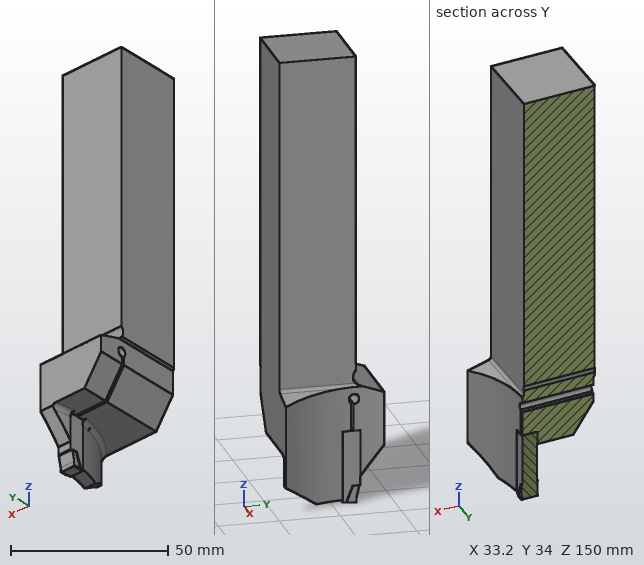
import cadquery as cq

total_height = 150.0
shank_size = 25.0
head_width = 33.3
head_depth = 34.0

base_z = 19.6
side_relief = 0.5
relief_top_z = 40.4
relief_bottom_z = 39.5
corner_chamfer_z = 30.5
corner_chamfer_x = 7.6
flare_inner_z = 39.2
flare_outer_z = 36.9
flare_fillet = 1.2
back_shoulder_z = 36.8
undercut_start = (26.2, 39.3)
undercut_middle = (24.2, 42.0)
undercut_end_z = 44.2

blade_axis_y = 25.5
blade_inner_x = 20.4
blade_outer_x = 25.6
inner_radius = 36.0
outer_radius = 46.4
blade_fillet = 1.6
blade_bottom_z = 1.4
front_chamfer_z = 9.6
front_chamfer_y = 11.4
jaw_top_z = 19.0
jaw_bottom_z = 8.8

insert_low_y = 20.5
insert_high_y = 26.4
insert_top_z = 24.3
insert_bottom_z = 0.5
tip_overhang = 0.3
tip_top_z = 5.8
tip_rake_y = 26.0
tip_edge_y = 25.0
tip_edge_z = 1.8
tip_back_top_y = 23.8
tip_back_bottom_y = 21.8
tip_corner_chamfer = 0.3

slit_y = 23.7
slit_width = 0.9
hole_y = 24.3
hole_z = 35.0
hole_radius = 1.6


def box_between(low, high):
    """Box from its lowest corner to its highest corner."""
    size = [top - bottom for bottom, top in zip(low, high)]
    return cq.Workplane("XY").box(*size, centered=False).translate(low)


def make_head_and_shank():
    """Outline in XZ, carried through the full depth, down to the head underside."""
    return (
        cq.Workplane("XZ")
        .moveTo(0, total_height)
        .lineTo(shank_size, total_height)
        .lineTo(shank_size, flare_inner_z)
        .lineTo(head_width, flare_outer_z)
        .lineTo(head_width, base_z)
        .lineTo(corner_chamfer_x, base_z)
        .lineTo(side_relief, corner_chamfer_z)
        .lineTo(side_relief, relief_bottom_z)
        .lineTo(0, relief_top_z)
        .close()
        .extrude(-head_depth)
        .edges(cq.selectors.NearestToPointSelector((shank_size, head_depth / 2, flare_inner_z)))
        .fillet(flare_fillet)
    )


def make_blade():
    """Convex blade body, revolved about its vertical axis and flared into the head."""
    bend = blade_fillet * (1 - 0.5 ** 0.5)
    blade = (
        cq.Workplane("XZ")
        .lineTo(inner_radius, 0)
        .lineTo(inner_radius, base_z - blade_fillet)
        .threePointArc(
            (inner_radius + bend, base_z - bend),
            (inner_radius + blade_fillet, base_z),
        )
        .lineTo(0, base_z)
        .close()
        .revolve(360, (0, 0, 0), (0, 1, 0))
        .translate((blade_inner_x + inner_radius, blade_axis_y, 0))
    )
    envelope = box_between((0, 0, 0), (head_width, head_depth, base_z))
    return blade.intersect(envelope)


def make_side_profile():
    """Outline in YZ that limits the shank, head and blade."""
    return (
        cq.Workplane("YZ")
        .moveTo(0, total_height)
        .lineTo(0, front_chamfer_z)
        .lineTo(front_chamfer_y, blade_bottom_z)
        .lineTo(insert_low_y, blade_bottom_z)
        .lineTo(insert_high_y, jaw_bottom_z)
        .lineTo(head_depth, jaw_top_z)
        .lineTo(head_depth, back_shoulder_z)
        .lineTo(*undercut_start)
        .threePointArc(undercut_middle, (shank_size, undercut_end_z))
        .lineTo(shank_size, total_height)
        .close()
        .extrude(head_width)
    )


def make_concave_face_cutter():
    """Upright cylinder that hollows the +X side of the head and blade."""
    return (
        cq.Workplane("XY")
        .center(blade_outer_x + outer_radius, blade_axis_y)
        .circle(outer_radius)
        .extrude(total_height)
    )


def make_seat_cutter():
    """Insert seat: blind toward -X inside the head, open on both sides of the blade."""
    head_pocket = box_between(
        (blade_inner_x, insert_low_y, 0), (head_width, insert_high_y, insert_top_z)
    )
    blade_gap = box_between((0, insert_low_y, 0), (head_width, insert_high_y, base_z))
    return head_pocket.union(blade_gap)


def make_slit_cutter():
    """Thin slit from the seat up to a round relief hole, through the whole head."""
    half_width = slit_width / 2
    slit = box_between(
        (0, slit_y - half_width, base_z), (head_width, slit_y + half_width, hole_z)
    )
    hole = cq.Workplane("YZ").center(hole_y, hole_z).circle(hole_radius).extrude(head_width)
    return slit.union(hole)


def make_holder():
    return (
        make_head_and_shank()
        .union(make_blade())
        .intersect(make_side_profile())
        .cut(make_concave_face_cutter())
        .cut(make_seat_cutter())
        .cut(make_slit_cutter())
    )


def make_insert():
    """Straight insert body with a raked and slightly wider cutting tip."""
    body_width = blade_outer_x - blade_inner_x
    body = (
        cq.Workplane("YZ", origin=(blade_inner_x, 0, 0))
        .moveTo(insert_low_y, insert_top_z)
        .lineTo(insert_high_y, insert_top_z)
        .lineTo(insert_high_y, tip_top_z)
        .lineTo(tip_rake_y, tip_top_z)
        .lineTo(tip_edge_y, tip_edge_z)
        .lineTo(tip_edge_y, 0)
        .lineTo(insert_low_y, insert_bottom_z)
        .close()
        .extrude(body_width)
    )
    tip = (
        cq.Workplane("YZ", origin=(blade_inner_x - tip_overhang, 0, 0))
        .moveTo(tip_rake_y, tip_top_z)
        .lineTo(tip_edge_y, tip_edge_z)
        .lineTo(tip_edge_y, 0)
        .lineTo(tip_back_bottom_y, insert_bottom_z)
        .lineTo(tip_back_top_y, tip_top_z)
        .close()
        .extrude(body_width + 2 * tip_overhang)
    )
    left, right = blade_inner_x - tip_overhang, blade_outer_x + tip_overhang
    corner_outline = (
        cq.Workplane("XZ")
        .moveTo(left, insert_top_z)
        .lineTo(left, tip_corner_chamfer)
        .lineTo(left + tip_corner_chamfer, 0)
        .lineTo(right - tip_corner_chamfer, 0)
        .lineTo(right, tip_corner_chamfer)
        .lineTo(right, insert_top_z)
        .close()
        .extrude(-head_depth)
    )
    return body.union(tip.intersect(corner_outline))


holder = make_holder()
insert = make_insert()

result = cq.Compound.makeCompound([holder.solids().val(), insert.solids().val()])